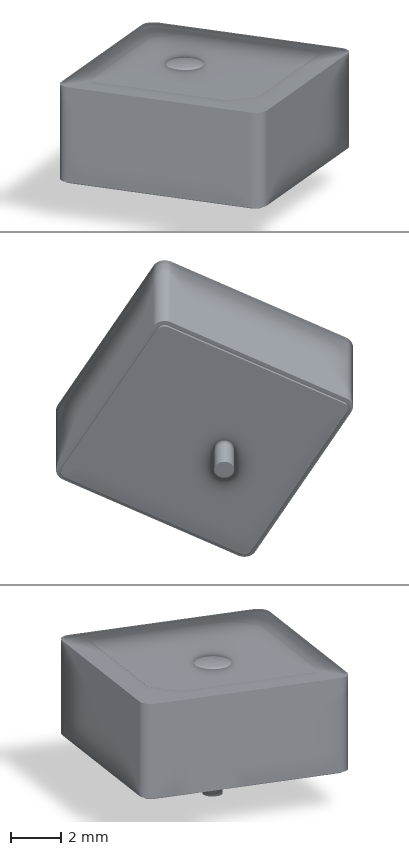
import cadquery as cq

BODY_LENGTH_X = 9.0
BODY_LENGTH_Y = 9.01
BODY_HEIGHT = 4.0
BODY_CORNER_RADIUS = 0.505

GROUND_INSET = 0.2
GROUND_THICKNESS = 0.1

PATCH_MARGIN = 1.0
PATCH_CORNER_CUT = 1.0
PATCH_THICKNESS = 0.01

PIN_X = -0.88
PIN_Y = 0.03
PIN_DIAMETER = 0.8
PIN_LENGTH_BELOW_GROUND = 1.41
HEAD_DIAMETER = 1.53
HEAD_FLAT_DIAMETER = 0.505
HEAD_HEIGHT = 0.1

PATCH_TOP = BODY_HEIGHT + PATCH_THICKNESS
PIN_BOTTOM = -GROUND_THICKNESS - PIN_LENGTH_BELOW_GROUND


def rounded_block(length_x, length_y, height, corner_radius):
    """Block standing on Z = 0 with rounded vertical edges."""
    block = cq.Workplane("XY").box(length_x, length_y, height, centered=(True, True, False))
    return block.edges("|Z").fillet(corner_radius)


def make_body():
    return rounded_block(BODY_LENGTH_X, BODY_LENGTH_Y, BODY_HEIGHT, BODY_CORNER_RADIUS)


def make_ground_plate():
    plate = rounded_block(
        BODY_LENGTH_X - 2 * GROUND_INSET,
        BODY_LENGTH_Y - 2 * GROUND_INSET,
        GROUND_THICKNESS,
        BODY_CORNER_RADIUS - GROUND_INSET,
    )
    return plate.translate((0, 0, -GROUND_THICKNESS))


def make_patch():
    half_x = BODY_LENGTH_X / 2 - PATCH_MARGIN
    half_y = BODY_LENGTH_Y / 2 - PATCH_MARGIN
    outline = [
        (-half_x, -half_y),
        (half_x - PATCH_CORNER_CUT, -half_y),
        (half_x, -half_y + PATCH_CORNER_CUT),
        (half_x, half_y),
        (-half_x + PATCH_CORNER_CUT, half_y),
        (-half_x, half_y - PATCH_CORNER_CUT),
    ]
    return (
        cq.Workplane("XY")
        .workplane(offset=BODY_HEIGHT)
        .polyline(outline)
        .close()
        .extrude(PATCH_THICKNESS)
    )


def make_pin():
    return (
        cq.Workplane("XY")
        .workplane(offset=PIN_BOTTOM)
        .center(PIN_X, PIN_Y)
        .circle(PIN_DIAMETER / 2)
        .extrude(PATCH_TOP - PIN_BOTTOM)
    )


def make_pin_head():
    """Shallow dome: a small flat on top that falls to the rim along a quarter ellipse."""
    head_radius = HEAD_DIAMETER / 2
    flat_radius = HEAD_FLAT_DIAMETER / 2
    rim_width = head_radius - flat_radius
    profile = (
        cq.Workplane("XZ")
        .moveTo(0, 0)
        .lineTo(0, HEAD_HEIGHT)
        .lineTo(flat_radius, HEAD_HEIGHT)
        .ellipseArc(rim_width, HEAD_HEIGHT, 0, 90, sense=-1, startAtCurrent=True)
        .close()
    )
    return profile.revolve(360, (0, 0), (0, 1)).translate((PIN_X, PIN_Y, PATCH_TOP))


result = (
    make_body()
    .union(make_ground_plate())
    .union(make_patch())
    .union(make_pin())
    .union(make_pin_head())
)